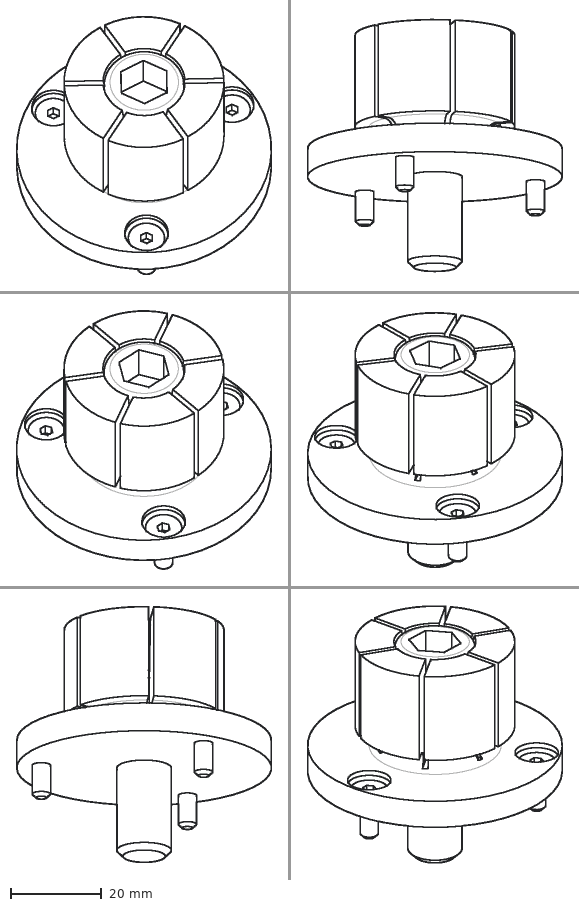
import cadquery as cq
import math

flange_radius = 28.0
flange_height = 6.4

sleeve_radius = 17.6
neck_radius = 12.1
neck_height = 4.9
sleeve_height = 20.5
neck_arc_radius = neck_height / 2
neck_end_radius = neck_radius + neck_arc_radius
sleeve_bottom = flange_height + neck_height
sleeve_top = sleeve_bottom + sleeve_height

slot_count = 6
slot_width = 1.2
slot_length = sleeve_radius + slot_width
slot_floor = flange_height + 0.5

shank_radius = 6.0
bolt_length = 52.0
bolt_tip = sleeve_top - bolt_length
bolt_tip_chamfer = 1.35
head_top_radius = 9.0
head_taper_height = 11.3
head_taper_angle = 11.0
head_taper_radius = head_top_radius - head_taper_height * math.tan(math.radians(head_taper_angle))
head_underside_height = 1.45
head_underside_bottom = sleeve_top - head_taper_height - head_underside_height
head_edge_fillet = 1.25
bolt_hex_flats = 10.0
bolt_hex_depth = 7.85

screw_count = 3
screw_circle_radius = 22.7
first_screw_angle = 90.0
screw_radius = 2.0
screw_head_radius = 4.0
screw_head_cone_height = screw_head_radius - screw_radius
screw_tip = -7.45
screw_tip_chamfer = 0.85
screw_hex_flats = 2.5
screw_hex_depth = 2.25

counterbore_radius = 4.75
counterbore_depth = 1.2
screw_head_top = flange_height - counterbore_depth - (counterbore_radius - screw_head_radius)
screw_head_bottom = screw_head_top - screw_head_cone_height


def hex_socket(flats, top, depth):
    """Hexagonal prism below `top`, with two of its flats facing +X and -X."""
    half_side_angle = 180 / 6
    corner_diameter = flats / math.cos(math.radians(half_side_angle))
    prism = cq.Workplane("XY").polygon(6, corner_diameter).extrude(-depth)
    return prism.rotate((0, 0, 0), (0, 0, 1), half_side_angle).translate((0, 0, top))


def revolved(outline):
    """Solid of revolution about Z from a closed XZ outline."""
    return outline.close().revolve(360, (0, 0, 0), (0, 1, 0))


def make_bolt_blank():
    """Bolt with its full conical head, before the edge fillet and the socket."""
    return revolved(
        cq.Workplane("XZ")
        .moveTo(0, bolt_tip)
        .lineTo(shank_radius - bolt_tip_chamfer, bolt_tip)
        .lineTo(shank_radius, bolt_tip + bolt_tip_chamfer)
        .lineTo(shank_radius, head_underside_bottom)
        .lineTo(head_taper_radius, sleeve_top - head_taper_height)
        .lineTo(head_top_radius, sleeve_top)
        .lineTo(0, sleeve_top)
    )


def make_bolt():
    """Tapered bolt with a rounded head edge and a hexagonal socket."""
    bolt = make_bolt_blank().edges(">Z").fillet(head_edge_fillet)
    return bolt.cut(hex_socket(bolt_hex_flats, sleeve_top, bolt_hex_depth))


def make_screw():
    """Countersunk screw on the Z axis."""
    screw = revolved(
        cq.Workplane("XZ")
        .moveTo(0, screw_tip)
        .lineTo(screw_radius - screw_tip_chamfer, screw_tip)
        .lineTo(screw_radius, screw_tip + screw_tip_chamfer)
        .lineTo(screw_radius, screw_head_bottom)
        .lineTo(screw_head_radius, screw_head_top)
        .lineTo(0, screw_head_top)
    )
    return screw.cut(hex_socket(screw_hex_flats, screw_head_top, screw_hex_depth))


def make_screw_hole():
    """Cutter on the Z axis for the screw shank, its head cone and the counterbore above."""
    return revolved(
        cq.Workplane("XZ")
        .lineTo(screw_radius, 0)
        .lineTo(screw_radius, screw_head_bottom)
        .lineTo(counterbore_radius, flange_height - counterbore_depth)
        .lineTo(counterbore_radius, flange_height)
        .lineTo(0, flange_height)
    )


def on_screw_circle(shape, index):
    """Move a shape from the Z axis to one of the evenly spaced screw positions."""
    angle = math.radians(first_screw_angle + index * 360 / screw_count)
    return shape.translate((screw_circle_radius * math.cos(angle), screw_circle_radius * math.sin(angle), 0))


def make_housing():
    """Flange and slotted sleeve in one piece, with the bolt and screw seats."""
    housing = revolved(
        cq.Workplane("XZ")
        .lineTo(flange_radius, 0)
        .lineTo(flange_radius, flange_height)
        .lineTo(neck_end_radius, flange_height)
        .radiusArc((neck_radius, flange_height + neck_arc_radius), neck_arc_radius)
        .radiusArc((neck_end_radius, sleeve_bottom), neck_arc_radius)
        .lineTo(sleeve_radius, sleeve_bottom)
        .lineTo(sleeve_radius, sleeve_top)
        .lineTo(0, sleeve_top)
    )

    housing = housing.cut(make_bolt_blank())

    for index in range(slot_count):
        slot = (
            cq.Workplane("XY", origin=(0, 0, slot_floor))
            .rect(slot_length, slot_width)
            .extrude(sleeve_top - slot_floor)
            .translate((slot_length / 2, 0, 0))
            .rotate((0, 0, 0), (0, 0, 1), index * 360 / slot_count)
        )
        housing = housing.cut(slot)

    for index in range(screw_count):
        housing = housing.cut(on_screw_circle(make_screw_hole(), index))
    return housing


housing = make_housing()
bolt = make_bolt()
screws = [on_screw_circle(make_screw(), index) for index in range(screw_count)]

result = cq.Compound.makeCompound([housing.val(), bolt.val(), *[screw.val() for screw in screws]])